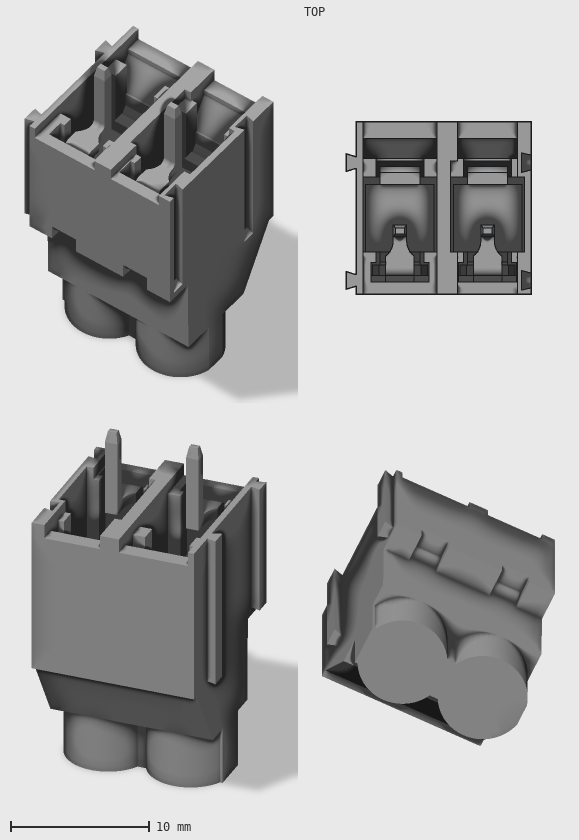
import cadquery as cq
import math

POLES = 2
WIDTH = 12.67
PITCH = WIDTH / POLES
DEPTH = 12.5
BODY_TOP = 21.55
SLEEVE_TOP = 4.46
LIP_BOTTOM = 11.05
WAIST_Y = 2.15
SLEEVE_FRONT = 2.25
REAR_BOTTOM = 9.6
SLOPE_TOP_Y = 11.97
SLOPE_FOOT_Y = 8.88

SLEEVE_RADIUS = 3.25
SLEEVE_X = 3.1
SLEEVE_PITCH = 6.42
WEB_WIDTH = 3.0

LEDGE_Z = 20.6
REAR_LEDGE_Z = 20.45
POCKET_HALF = 2.68
NARROW_HALF = 2.17
POCKET_FRONT = 3.07
POCKET_BACK = 8.45
PAD_BACK = 9.8
PAD_STEP_BACK = 9.65
RAMP_BACK = 11.25
RAMP_TOP_Z = 19.95
RAMP_FOOT_Z = 17.67
POCKET_FLOOR = 14.45
RECESS_HALF = 1.73
RECESS_DROP = 1.15
SLOT_HALF = 2.1
SLOT_FRONT = 0.9
SLOT_BACK = 2.3
SLOT_RISE = 0.23

CAGE_TOP = 15.48
CAGE_HALF = 2.48
CAGE_BACK = 7.92
TAB_HALF = 1.45
TAB_BACK = 9.24
TAB_TOP = 16.5
TAB_SLOPE_RUN = 0.45
NOSE_FRONT = 2.12
NOSE_TOP = 15.22
NOSE_SLOPE_RUN = 0.23
FOOT_HALF = 1.99
FOOT_TOP_HALF = 1.52
FOOT_HEIGHT = 0.77
HEEL_HEIGHT = 0.25

PIN_TOP = 25.8
PIN_WIDTH = 0.98
PIN_FRONT = 4.18
PIN_BACK = 5.0
PIN_TIP_LENGTH = 0.83
PIN_TIP_WIDTH = 0.67
PIN_TIP_THICKNESS = 0.45
TONGUE_TOP = 20.0
LEG_WIDTH = 2.06
LEG_FRONT = 1.37
LEG_BOTTOM = 11.8
BEND_RADIUS = 0.52
PIN_ROOT_RADIUS = 0.4
FLARE_START_Y = 3.77
FLARE_END_Y = 2.75
FLARE_MID_SPREAD = 0.3
FLARE_MID_LENGTH = 0.45

WINDOW_WIDTH = 2.17
WINDOW_TOP = 12.28

RAIL_HEIGHT = 0.72
RAIL_TIP_WIDTH = 1.3
RAIL_NECK_WIDTH = 0.85
GROOVE_TIP_WIDTH = 1.42
GROOVE_NECK_WIDTH = 1.05
RAILS = ((1.0, 11.64), (9.52, 9.83))


def box(x0, x1, y0, y1, z0, z1):
    return cq.Workplane("XY").box(x1 - x0, y1 - y0, z1 - z0, centered=False).translate((x0, y0, z0))


def side_prism(points, x0, x1):
    """Extrude a closed (Y, Z) outline from x0 to x1."""
    return cq.Workplane("YZ").polyline(points).close().extrude(x1 - x0).translate((x0, 0, 0))


def make_body():
    outline = [
        (0, LIP_BOTTOM),
        (WAIST_Y, LIP_BOTTOM),
        (SLEEVE_FRONT, SLEEVE_TOP),
        (SLOPE_FOOT_Y, SLEEVE_TOP),
        (SLOPE_TOP_Y, REAR_BOTTOM),
        (DEPTH, REAR_BOTTOM),
        (DEPTH, BODY_TOP),
        (0, BODY_TOP),
    ]
    return side_prism(outline, 0, WIDTH)


def make_sleeves():
    """Round sleeves joined by a web that reaches the railed side; the far sleeve is cut flush."""
    centre_y = SLEEVE_FRONT + SLEEVE_RADIUS
    last_x = SLEEVE_X + (POLES - 1) * SLEEVE_PITCH
    sleeves = box(0, last_x, centre_y - WEB_WIDTH / 2, centre_y + WEB_WIDTH / 2, 0, SLEEVE_TOP)
    for pole in range(POLES):
        sleeve = cq.Workplane("XY").circle(SLEEVE_RADIUS).extrude(SLEEVE_TOP)
        sleeves = sleeves.union(sleeve.translate((SLEEVE_X + pole * SLEEVE_PITCH, centre_y, 0)))
    return sleeves.intersect(box(0, WIDTH, 0, DEPTH, 0, SLEEVE_TOP))


def dovetail(x, centre_y, bottom, neck_width, tip_width):
    """Upright dovetail whose neck lies at x and whose wide side lies RAIL_HEIGHT towards -X."""
    outline = [
        (x, centre_y - neck_width / 2),
        (x, centre_y + neck_width / 2),
        (x - RAIL_HEIGHT, centre_y + tip_width / 2),
        (x - RAIL_HEIGHT, centre_y - tip_width / 2),
    ]
    prism = cq.Workplane("XY").polyline(outline).close().extrude(BODY_TOP - bottom)
    return prism.translate((0, 0, bottom))


def make_pocket(centre_x, end_half):
    """Opening for one pole; end_half is its half width ahead of and behind the middle part."""
    left, right = centre_x - POCKET_HALF, centre_x + POCKET_HALF
    end_left, end_right = centre_x - end_half, centre_x + end_half
    recess_left, recess_right = centre_x - RECESS_HALF, centre_x + RECESS_HALF

    pocket = box(end_left, end_right, 0, RAMP_BACK, LEDGE_Z, BODY_TOP)
    pocket = pocket.union(box(end_left, end_right, RAMP_BACK, DEPTH, REAR_LEDGE_Z, BODY_TOP))
    pocket = pocket.union(box(left, centre_x, POCKET_FRONT, PAD_STEP_BACK, LEDGE_Z, BODY_TOP))

    pocket = pocket.union(box(left, right, POCKET_FRONT, POCKET_BACK, POCKET_FLOOR, BODY_TOP))
    ramp = [
        (PAD_BACK, RAMP_FOOT_Z),
        (RAMP_BACK, RAMP_TOP_Z),
        (RAMP_BACK, BODY_TOP),
        (PAD_BACK, BODY_TOP),
    ]
    pocket = pocket.union(side_prism(ramp, end_left, end_right))

    ramp_gradient = (RAMP_TOP_Z - RAMP_FOOT_Z) / (RAMP_BACK - PAD_BACK)
    recess_top = RAMP_FOOT_Z - RECESS_DROP
    recess_bottom = recess_top - (PAD_STEP_BACK - POCKET_BACK) * ramp_gradient
    recess = [
        (PAD_BACK, RAMP_FOOT_Z),
        (PAD_STEP_BACK, RAMP_FOOT_Z),
        (PAD_STEP_BACK, recess_top),
        (POCKET_BACK, recess_bottom),
        (POCKET_BACK, BODY_TOP),
        (PAD_BACK, BODY_TOP),
    ]
    pocket = pocket.union(side_prism(recess, recess_left, recess_right))

    pocket = pocket.union(box(recess_left, recess_right, SLOT_BACK, POCKET_FRONT, POCKET_FLOOR, BODY_TOP))
    slot = [
        (SLOT_FRONT, POCKET_FLOOR + SLOT_RISE),
        (LEG_FRONT, POCKET_FLOOR),
        (SLOT_BACK, POCKET_FLOOR),
        (SLOT_BACK, BODY_TOP),
        (SLOT_FRONT, BODY_TOP),
    ]
    return pocket.union(side_prism(slot, centre_x - SLOT_HALF, centre_x + SLOT_HALF))


def make_cage(centre_x):
    """Clamp cage with a rear tab, a front nose, a foot with sloping ends and a heel ahead of the leg."""
    cage = box(centre_x - CAGE_HALF, centre_x + CAGE_HALF, POCKET_FRONT, CAGE_BACK, POCKET_FLOOR, CAGE_TOP)
    tab = [
        (CAGE_BACK, POCKET_FLOOR),
        (TAB_BACK, POCKET_FLOOR),
        (TAB_BACK, TAB_TOP - TAB_SLOPE_RUN / 2),
        (TAB_BACK - TAB_SLOPE_RUN, TAB_TOP),
        (CAGE_BACK, TAB_TOP),
    ]
    nose = [
        (POCKET_FRONT, POCKET_FLOOR),
        (POCKET_FRONT, NOSE_TOP),
        (NOSE_FRONT + NOSE_SLOPE_RUN, NOSE_TOP - NOSE_SLOPE_RUN / 2),
        (NOSE_FRONT, NOSE_TOP),
        (NOSE_FRONT, POCKET_FLOOR),
    ]
    for outline in (tab, nose):
        cage = cage.union(side_prism(outline, centre_x - TAB_HALF, centre_x + TAB_HALF))
    heel = [
        (SLOT_FRONT, POCKET_FLOOR),
        (SLOT_FRONT, POCKET_FLOOR + SLOT_RISE + HEEL_HEIGHT),
        (LEG_FRONT, POCKET_FLOOR + HEEL_HEIGHT),
        (LEG_FRONT, POCKET_FLOOR),
    ]
    cage = cage.union(side_prism(heel, centre_x - LEG_WIDTH / 2, centre_x + LEG_WIDTH / 2))
    foot_outline = [
        (centre_x - FOOT_HALF, POCKET_FLOOR),
        (centre_x - FOOT_TOP_HALF, POCKET_FLOOR + FOOT_HEIGHT),
        (centre_x + FOOT_TOP_HALF, POCKET_FLOOR + FOOT_HEIGHT),
        (centre_x + FOOT_HALF, POCKET_FLOOR),
    ]
    foot = cq.Workplane("XZ").polyline(foot_outline).close().extrude(NOSE_FRONT - LEG_FRONT)
    return cage.union(foot.translate((0, NOSE_FRONT, 0)))


def make_terminal(centre_x):
    """Bent strip: leg up the front, tongue to the rear, then the solder pin with a tapered tip."""
    thickness = PIN_BACK - PIN_FRONT
    leg_back = LEG_FRONT + thickness
    tongue_bottom = TONGUE_TOP - thickness
    bend_45 = BEND_RADIUS * (1 - math.sqrt(0.5))
    root_45 = PIN_ROOT_RADIUS * (1 - math.sqrt(0.5))
    shank_top = PIN_TOP - PIN_TIP_LENGTH
    strip = (
        cq.Workplane("YZ")
        .moveTo(leg_back, LEG_BOTTOM)
        .lineTo(LEG_FRONT + BEND_RADIUS, LEG_BOTTOM)
        .threePointArc((LEG_FRONT + bend_45, LEG_BOTTOM + bend_45), (LEG_FRONT, LEG_BOTTOM + BEND_RADIUS))
        .lineTo(LEG_FRONT, TONGUE_TOP - BEND_RADIUS)
        .threePointArc((LEG_FRONT + bend_45, TONGUE_TOP - bend_45), (LEG_FRONT + BEND_RADIUS, TONGUE_TOP))
        .lineTo(PIN_FRONT - PIN_ROOT_RADIUS, TONGUE_TOP)
        .threePointArc((PIN_FRONT - root_45, TONGUE_TOP + root_45), (PIN_FRONT, TONGUE_TOP + PIN_ROOT_RADIUS))
        .lineTo(PIN_FRONT, shank_top)
        .lineTo(PIN_BACK, shank_top)
        .lineTo(PIN_BACK, tongue_bottom)
        .lineTo(leg_back, tongue_bottom)
        .close()
        .extrude(LEG_WIDTH / 2, both=True)
    )
    flare_x = PIN_WIDTH / 2 + FLARE_MID_SPREAD * (LEG_WIDTH - PIN_WIDTH) / 2
    flare_y = FLARE_END_Y + FLARE_MID_LENGTH * (FLARE_START_Y - FLARE_END_Y)
    plan = (
        cq.Workplane("XY")
        .moveTo(-LEG_WIDTH / 2, LEG_FRONT)
        .lineTo(LEG_WIDTH / 2, LEG_FRONT)
        .lineTo(LEG_WIDTH / 2, FLARE_END_Y)
        .threePointArc((flare_x, flare_y), (PIN_WIDTH / 2, FLARE_START_Y))
        .lineTo(PIN_WIDTH / 2, PIN_BACK)
        .lineTo(-PIN_WIDTH / 2, PIN_BACK)
        .lineTo(-PIN_WIDTH / 2, FLARE_START_Y)
        .threePointArc((-flare_x, flare_y), (-LEG_WIDTH / 2, FLARE_END_Y))
        .close()
        .extrude(PIN_TOP)
    )
    tip = (
        cq.Workplane("XY", origin=(0, (PIN_FRONT + PIN_BACK) / 2, shank_top))
        .rect(PIN_WIDTH, thickness)
        .workplane(offset=PIN_TIP_LENGTH)
        .rect(PIN_TIP_WIDTH, PIN_TIP_THICKNESS)
        .loft(combine=True)
    )
    return strip.intersect(plan).union(tip).translate((centre_x, 0, 0))


result = make_body().union(make_sleeves())

for rail_y, rail_bottom in RAILS:
    result = result.union(dovetail(0, rail_y, rail_bottom, RAIL_NECK_WIDTH, RAIL_TIP_WIDTH))
    result = result.cut(dovetail(WIDTH, rail_y, rail_bottom, GROOVE_NECK_WIDTH, GROOVE_TIP_WIDTH))

for pole in range(POLES):
    pole_x = (pole + 0.5) * PITCH
    end_half_width = POCKET_HALF if pole == 0 else NARROW_HALF
    result = result.cut(make_pocket(pole_x, end_half_width))
    window_x = SLEEVE_X + pole * SLEEVE_PITCH
    result = result.cut(
        box(window_x - WINDOW_WIDTH / 2, window_x + WINDOW_WIDTH / 2, 0, WAIST_Y, LIP_BOTTOM, WINDOW_TOP)
    )
    result = result.union(make_cage(pole_x)).union(make_terminal(pole_x))